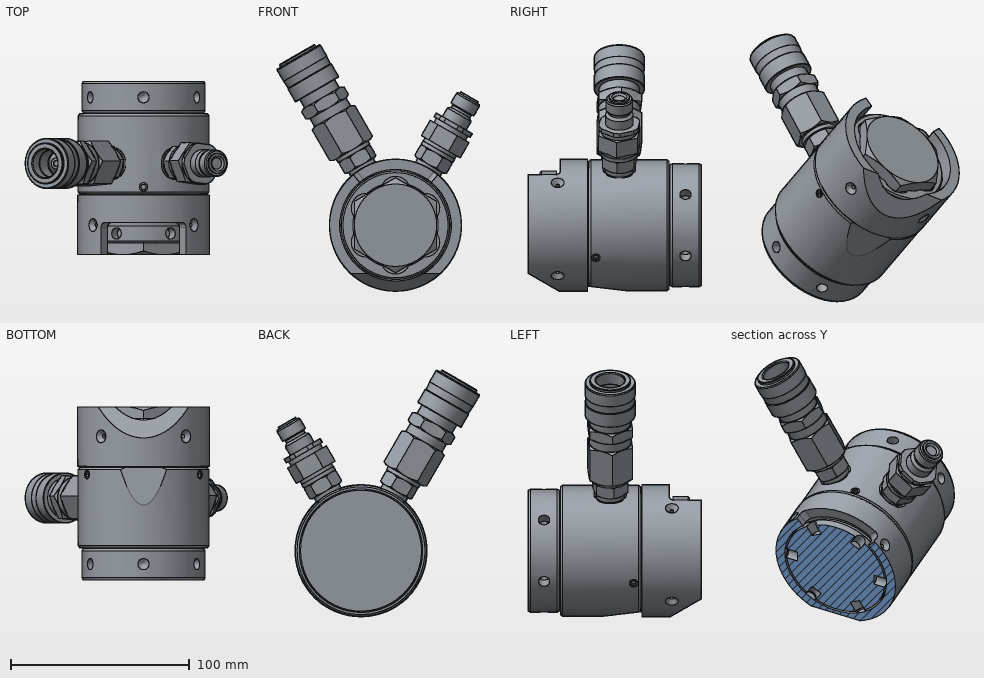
import cadquery as cq
import math


body_length = 97.0
front_ring_radius = 37.0
front_ring_end = 33.4
seam_radius = 31.8
seam_width = 0.5
collar_radius = 36.7
collar_end = 79.0
collar_bevel_length = 1.2
collar_bevel_depth = 1.0
back_ring_radius = 34.5
back_ring_start = 79.4
back_groove_radius = 33.7
back_bevel_length = 1.4
back_bevel_depth = 0.7

chin_height = 26.9
chin_angle = 30
taper_start = 55.0
taper_depth = 2.5

bore_radius = 31.2
bore_depth = 19.3
window_back = 18.0
window_half_angle = 40
window_fillet = 2.8
flange_radius = 30.4
flange_face = 6.6
flange_back = 16.0
flange_bevel = 1.0
flange_neck_radius = 28.6
nut_flats = 46.1
nut_bevel_angle = 30
relief_depth = 1.4
relief_disc_radius = 23.9
relief_lobe_radius = 8.1
relief_lobe_offset = 19.2

back_hole_y = 88.1
back_hole_diameter = 6.2
back_hole_depth = 6.9
drill_tip_angle = 118
pin_hole_y = 16.5
pin_sink_diameter = 7.2
pin_hole_diameter = 2.1
pin_hole_angles = (50, 140, 220, 310)
spanner_hole_y = 11.9
spanner_hole_diameter = 6.2
spanner_hole_depth = 6.6
screw_y = 38.0
screw_diameter = 4.7
screw_recess = 0.4
screw_socket_flats = 2.8
screw_socket_depth = 1.7

fitting_y = 51.1
fitting_tilt = 30
fitting_root = 27.6
neck_radius = 8.0
spotface_radius = 9.1
spotface_floor = 35.6
adapter_hex_start = 38.7
adapter_hex_end = 46.4
adapter_end = 48.6
adapter_flats = 18.0
adapter_shoulder_radius = 10.4
socket_flats = 24.0
plug_flats = 22.0
plug_flange_radius = 11.7
left_adapter_turn = 48
socket_turn = 55
plug_turn = 67


def turned(points):
    """Solid of revolution about Z from (radius, height) points."""
    return cq.Workplane("XZ").polyline(points).close().revolve(360, (0, 0, 0), (0, 1, 0))


def turned_about_y(points):
    """Solid of revolution about Y from (radius, y) points."""
    return cq.Workplane("XY").polyline(points).close().revolve(360, (0, 0, 0), (0, 1, 0))


def cylinder(radius, bottom, top):
    return cq.Workplane("XY").workplane(offset=bottom).circle(radius).extrude(top - bottom)


def hexagon(flats, bottom, top, turn=0):
    """Hexagonal bar along Z with one corner turned away from +X toward -Y."""
    across_corners = flats / math.cos(math.radians(30))
    bar = cq.Workplane("XY").workplane(offset=bottom).polygon(6, across_corners).extrude(top - bottom)
    return bar.rotate((0, 0, 0), (0, 0, 1), -turn)


def beveled_hexagon(flats, bottom, top, turn, bevel_radius):
    """Hexagonal bar whose corners are turned down by a cone at both ends."""
    corner_radius = flats / 2 / math.cos(math.radians(30))
    bevel_height = (corner_radius - bevel_radius) * math.tan(math.radians(30))
    envelope = turned([
        (0, bottom),
        (bevel_radius, bottom),
        (corner_radius, bottom + bevel_height),
        (corner_radius, top - bevel_height),
        (bevel_radius, top),
        (0, top),
    ])
    return hexagon(flats, bottom, top, turn).intersect(envelope)


def radial(tool, angle, y):
    """Move a tool built along Z to station y and swing it from +Z toward +X."""
    return tool.translate((0, y, 0)).rotate((0, 0, 0), (0, 1, 0), angle)


def make_body():
    seam_end = front_ring_end + seam_width
    body = turned_about_y([
        (0, 0),
        (front_ring_radius, 0),
        (front_ring_radius, front_ring_end),
        (seam_radius, front_ring_end),
        (seam_radius, seam_end),
        (collar_radius - collar_bevel_depth, seam_end),
        (collar_radius, seam_end + collar_bevel_length),
        (collar_radius, collar_end - collar_bevel_length),
        (collar_radius - collar_bevel_depth, collar_end),
        (back_groove_radius, collar_end),
        (back_groove_radius, back_ring_start),
        (back_ring_radius - back_bevel_depth, back_ring_start),
        (back_ring_radius, back_ring_start + back_bevel_length),
        (back_ring_radius, body_length - back_bevel_length),
        (back_ring_radius - back_bevel_depth, body_length),
        (0, body_length),
    ])
    return body.cut(make_chin_cut()).cut(make_taper_cut())


def make_chin_cut():
    """Wedge that slants the underside of the front ring up toward the front face."""
    drop = front_ring_radius - chin_height
    run = drop / math.tan(math.radians(chin_angle))
    return (
        cq.Workplane("YZ")
        .polyline([(0, -chin_height), (run, -front_ring_radius), (0, -front_ring_radius)])
        .close()
        .extrude(front_ring_radius, both=True)
    )


def make_taper_cut():
    """Shallow wedge under the collar, deepest at the seam."""
    return (
        cq.Workplane("YZ")
        .polyline([
            (taper_start, -collar_radius),
            (front_ring_end + seam_width, -collar_radius + taper_depth),
            (front_ring_end + seam_width, -collar_radius),
        ])
        .close()
        .extrude(collar_radius, both=True)
    )


def make_bore():
    return turned_about_y([(0, 0), (bore_radius, 0), (bore_radius, bore_depth), (0, bore_depth)])


def make_window():
    """Sector with radial side walls, open at the front and rounded at its two back corners."""
    reach = 2 * front_ring_radius
    half_angle = math.radians(window_half_angle)
    side = reach * math.sin(half_angle)
    rise = reach * math.cos(half_angle)
    sector = (
        cq.Workplane("XZ", origin=(0, window_back, 0))
        .polyline([(0, 0), (side, rise), (-side, rise)])
        .close()
        .extrude(window_back)
    )
    back_corners = cq.selectors.BoxSelector(
        (-reach, window_back - 0.1, 0.1), (reach, window_back + 0.1, rise - 0.1)
    )
    return sector.edges(back_corners).fillet(window_fillet).cut(make_bore())


def make_flange():
    flange = turned_about_y([
        (0, flange_face),
        (flange_radius - flange_bevel, flange_face),
        (flange_radius, flange_face + flange_bevel),
        (flange_radius, flange_back),
        (flange_neck_radius, flange_back),
        (flange_neck_radius, bore_depth),
        (0, bore_depth),
    ])
    relief_floor = cq.Workplane("XZ", origin=(0, flange_face + relief_depth, 0))
    relief = relief_floor.circle(relief_disc_radius).extrude(relief_depth)
    lobes = (
        relief_floor
        .polarArray(relief_lobe_offset, 90, 360, 6)
        .circle(relief_lobe_radius)
        .extrude(relief_depth)
    )
    return flange.cut(relief.union(lobes))


def make_nut():
    """Hexagonal nut with a corner straight up and its front corners turned to a cone."""
    inner_radius = nut_flats / 2
    corner_radius = inner_radius / math.cos(math.radians(30))
    bevel = (corner_radius - inner_radius) * math.tan(math.radians(nut_bevel_angle))
    root = flange_face + relief_depth
    envelope = turned_about_y([
        (0, 0),
        (inner_radius, 0),
        (corner_radius, bevel),
        (corner_radius, root),
        (0, root),
    ])
    bar = (
        cq.Workplane("XZ")
        .transformed(rotate=(0, 0, 90))
        .polygon(6, 2 * corner_radius)
        .extrude(-root)
    )
    return bar.intersect(envelope)


def make_back_hole():
    radius = back_hole_diameter / 2
    floor = back_ring_radius - back_hole_depth
    tip = floor - radius / math.tan(math.radians(drill_tip_angle / 2))
    return turned([(0, tip), (radius, floor), (radius, front_ring_radius), (0, front_ring_radius)])


def make_pin_hole():
    """Small pin hole with a 90 degree countersink at the ring surface."""
    sink_radius = pin_sink_diameter / 2
    hole_radius = pin_hole_diameter / 2
    sink_floor = front_ring_radius - (sink_radius - hole_radius)
    return turned([
        (0, bore_radius),
        (hole_radius, bore_radius),
        (hole_radius, sink_floor),
        (sink_radius, front_ring_radius),
        (sink_radius, front_ring_radius + 1.4),
        (0, front_ring_radius + 1.4),
    ])


def make_screw_recess():
    """Recessed set screw face with a hexagonal socket."""
    face = collar_radius - screw_recess
    recess = cylinder(screw_diameter / 2, face, front_ring_radius)
    return recess.union(hexagon(screw_socket_flats, face - screw_socket_depth, face))


def drill_holes(body):
    back_hole = make_back_hole()
    pin_hole = make_pin_hole()
    spanner_hole = cylinder(spanner_hole_diameter / 2, flange_radius - spanner_hole_depth, bore_radius)
    screw_recess_tool = make_screw_recess()
    for step in range(6):
        body = body.cut(radial(back_hole, 60 * step, back_hole_y))
        body = body.cut(radial(spanner_hole, 30 + 60 * step, spanner_hole_y))
    for angle in pin_hole_angles:
        body = body.cut(radial(pin_hole, angle, pin_hole_y))
    for step in range(3):
        body = body.cut(radial(screw_recess_tool, 120 * step, screw_y))
    return body


def make_spotface():
    """Flat seat milled into the collar around a fitting neck."""
    return cylinder(spotface_radius, spotface_floor, adapter_hex_start)


def make_adapter(turn):
    """Threaded neck, small hexagon and round shoulder shared by both fittings."""
    neck = cylinder(neck_radius, fitting_root, adapter_hex_start)
    nut = beveled_hexagon(adapter_flats, adapter_hex_start, adapter_hex_end, turn, adapter_flats / 2)
    shoulder = cylinder(adapter_shoulder_radius, adapter_hex_end, adapter_end)
    return neck.union(nut).union(shoulder)


def make_socket_fitting():
    """Quick coupler socket with two hexagons, a sliding sleeve and an open mouth."""
    bevel_radius = socket_flats / 2
    long_hex = beveled_hexagon(socket_flats, adapter_end, 70.4, socket_turn, bevel_radius)
    short_hex = beveled_hexagon(socket_flats, 75.5, 82.3, socket_turn, bevel_radius)
    barrel = turned([
        (0, 70.4),
        (11.7, 70.4),
        (11.7, 78.7),
        (11.3, 78.7),
        (11.3, 87.7),
        (13.8, 87.7),
        (14.1, 88.0),
        (14.1, 96.1),
        (13.7, 96.5),
        (14.0, 101.0),
        (14.1, 101.0),
        (14.1, 108.1),
        (13.7, 108.8),
        (11.5, 108.8),
        (11.5, 109.9),
        (11.0, 110.3),
        (0, 110.3),
    ])
    mouth = turned([
        (0, 97.3),
        (1.7, 97.3),
        (1.7, 98.0),
        (3.0, 98.0),
        (6.9, 93.9),
        (7.6, 93.9),
        (7.6, 103.0),
        (8.0, 103.0),
        (8.0, 109.8),
        (8.5, 110.3),
        (0, 110.3),
    ])
    return make_adapter(left_adapter_turn).union(long_hex).union(short_hex).union(barrel).cut(mouth)


def make_plug_fitting():
    """Quick coupler plug with a hexagon, a rounded hexagonal flange and a grooved nose."""
    nut = hexagon(plug_flats, 50.7, 60.6, plug_turn)
    flange = hexagon(plug_flats, 63.4, 65.9, plug_turn).intersect(cylinder(plug_flange_radius, 63.4, 65.9))
    stem = turned([
        (0, adapter_end),
        (10.2, adapter_end),
        (10.2, 64.9),
        (7.7, 64.9),
        (7.7, 71.4),
        (6.1, 72.8),
        (6.1, 74.3),
        (6.9, 74.8),
        (7.5, 74.8),
        (7.5, 80.9),
        (6.9, 81.9),
        (5.7, 81.9),
        (5.7, 83.0),
        (4.3, 83.0),
        (3.2, 81.9),
        (0, 81.9),
    ])
    return make_adapter(plug_turn).union(stem).union(nut).union(flange)


result = make_body().cut(make_bore()).cut(make_window())
result = result.union(make_flange()).union(make_nut())
result = drill_holes(result)
for tilt in (-fitting_tilt, fitting_tilt):
    result = result.cut(radial(make_spotface(), tilt, fitting_y))
result = result.union(radial(make_socket_fitting(), -fitting_tilt, fitting_y))
result = result.union(radial(make_plug_fitting(), fitting_tilt, fitting_y))